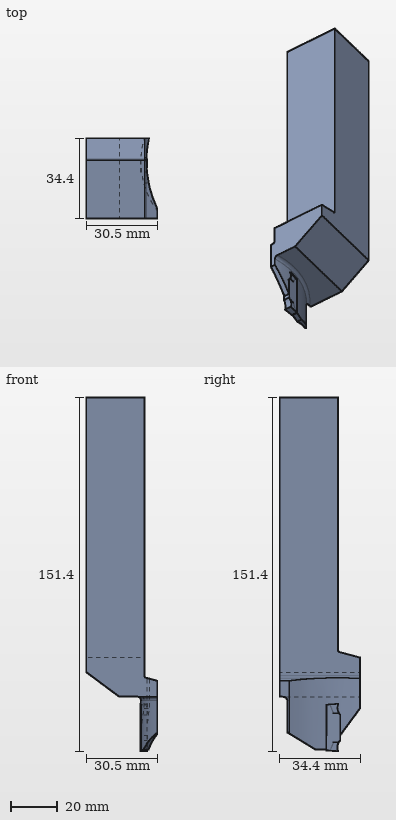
import cadquery as cq
import math


TOTAL_HEIGHT = 151.35
SHANK_WIDTH = 25.0
HEAD_WIDTH = 30.49
HEAD_DEPTH = 34.4
HEAD_BOTTOM_Z = 23.4
BEVEL_RUN = 14.1
BEVEL_RISE = 10.5
SIDE_FLANGE_TOP_Z = 31.7
REAR_FLANGE_TOP_Z = 42.7
FLANGE_SLOPE = math.tan(math.radians(15))
FLANGE_FILLET = 0.8

APEX_Y = 24.5
OUTER_APEX_X = 23.3
INNER_APEX_X = 25.8
OUTER_START_Y = 3.2
INNER_START_Y = 4.2
BLADE_ROOT_FILLET = 1.4
FRONT_CORNER_Z = 8.2
TOE_START_Y = 15.3
TOE_Z = 0.8
REAR_CORNER_Z = 18.4
CLAMP_END_Z = 7.0

INSERT_BACK_Y = 20.0
INSERT_TOP_Y = 26.0
INSERT_LENGTH = 20.4
INSERT_MID_Z = INSERT_LENGTH / 2
INSERT_SIDE_X = 23.2
INSERT_THICKNESS = 2.8
CUTTING_EDGE_Y = 25.1
END_CLEARANCE = 0.4
RAKE_HOLLOW_Y = 24.75
RAKE_HOLLOW_Z = 1.8
RAKE_END_Z = 4.8
FLANK_TOP_Z = 4.0
FLANK_TOP_Y = 23.0
FLANK_BOTTOM_Y = 21.3
FLANK_BULGE = 0.15


def head_arc_radius(apex_x, start_y):
    """Radius of the arc with its -X extreme at the apex that meets the head's +X side at start_y."""
    depth = HEAD_WIDTH - apex_x
    half_chord = APEX_Y - start_y
    return (half_chord**2 + depth**2) / (2 * depth)


def cylinder_through_head(apex_x, start_y):
    """Vertical cylinder with its -X extreme at the apex, crossing the head's +X side at start_y."""
    radius = head_arc_radius(apex_x, start_y)
    return cq.Workplane("XY").center(apex_x + radius, APEX_Y).circle(radius).extrude(TOTAL_HEIGHT)


def extrude_yz(outline):
    """Extrude a closed (Y, Z) outline across the whole head width."""
    return cq.Workplane("YZ").polyline(outline).close().extrude(HEAD_WIDTH)


def make_shank_and_head():
    front_outline = [
        (0, TOTAL_HEIGHT),
        (0, HEAD_BOTTOM_Z + BEVEL_RISE),
        (BEVEL_RUN, HEAD_BOTTOM_Z),
        (HEAD_WIDTH, HEAD_BOTTOM_Z),
        (HEAD_WIDTH, SIDE_FLANGE_TOP_Z - (HEAD_WIDTH - SHANK_WIDTH) * FLANGE_SLOPE),
        (SHANK_WIDTH, SIDE_FLANGE_TOP_Z),
        (SHANK_WIDTH, TOTAL_HEIGHT),
    ]
    side_outline = [
        (0, TOTAL_HEIGHT),
        (0, HEAD_BOTTOM_Z),
        (HEAD_DEPTH, HEAD_BOTTOM_Z),
        (HEAD_DEPTH, REAR_FLANGE_TOP_Z - (HEAD_DEPTH - SHANK_WIDTH) * FLANGE_SLOPE),
        (SHANK_WIDTH, REAR_FLANGE_TOP_Z),
        (SHANK_WIDTH, TOTAL_HEIGHT),
    ]
    front = cq.Workplane("XZ").polyline(front_outline).close().extrude(-HEAD_DEPTH)
    front_corner = cq.selectors.NearestToPointSelector((SHANK_WIDTH, HEAD_DEPTH / 2, SIDE_FLANGE_TOP_Z))
    front = front.edges(front_corner).fillet(FLANGE_FILLET)
    side = extrude_yz(side_outline)
    side_corner = cq.selectors.NearestToPointSelector((HEAD_WIDTH / 2, SHANK_WIDTH, REAR_FLANGE_TOP_Z))
    side = side.edges(side_corner).fillet(FLANGE_FILLET)
    return front.intersect(side)


def make_blade():
    """Curved plate below the head, still without its concave face."""
    outline = [
        (OUTER_START_Y, HEAD_BOTTOM_Z),
        (OUTER_START_Y, FRONT_CORNER_Z),
        (TOE_START_Y, TOE_Z),
        (INSERT_BACK_Y, TOE_Z),
        (INSERT_BACK_Y, CLAMP_END_Z),
        (INSERT_TOP_Y, CLAMP_END_Z),
        (HEAD_DEPTH, REAR_CORNER_Z),
        (HEAD_DEPTH, HEAD_BOTTOM_Z),
    ]
    return extrude_yz(outline).intersect(cylinder_through_head(OUTER_APEX_X, OUTER_START_Y))


def make_blade_root():
    """Concave fillet between the head's underside and the blade's convex face."""
    outer_radius = head_arc_radius(OUTER_APEX_X, OUTER_START_Y)
    center_x = OUTER_APEX_X + outer_radius
    ring = (
        cq.Workplane("XZ", origin=(center_x, APEX_Y, HEAD_BOTTOM_Z))
        .moveTo(-outer_radius + BLADE_ROOT_FILLET, 0)
        .lineTo(-outer_radius - BLADE_ROOT_FILLET, 0)
        .radiusArc((-outer_radius, -BLADE_ROOT_FILLET), BLADE_ROOT_FILLET)
        .lineTo(-outer_radius + BLADE_ROOT_FILLET, -BLADE_ROOT_FILLET)
        .close()
        .revolve(360, (0, 0, 0), (0, 1, 0))
    )
    head_space = cq.Workplane("XY").box(HEAD_WIDTH, HEAD_DEPTH, TOTAL_HEIGHT, centered=False)
    return ring.intersect(head_space)


def make_insert_flank(side_x, direction):
    """Tapered widening of the lower cutting head on one side of the insert."""
    tip_x = side_x + direction * FLANK_BULGE
    top = [(side_x, FLANK_TOP_Y), (tip_x, INSERT_TOP_Y), (side_x, INSERT_TOP_Y)]
    bottom = [(side_x, FLANK_BOTTOM_Y), (tip_x, INSERT_TOP_Y), (side_x, INSERT_TOP_Y)]
    return (
        cq.Workplane("XY").polyline(bottom).close()
        .workplane(offset=FLANK_TOP_Z).polyline(top).close()
        .loft(ruled=True)
    )


def make_insert():
    """Lower half of the insert with its cutting head, mirrored to make both ends."""
    def half_profile(x_start, thickness):
        return (
            cq.Workplane("YZ", origin=(x_start, 0, 0))
            .moveTo(INSERT_BACK_Y, INSERT_MID_Z)
            .lineTo(INSERT_BACK_Y, END_CLEARANCE)
            .lineTo(CUTTING_EDGE_Y, 0)
            .threePointArc((RAKE_HOLLOW_Y, RAKE_HOLLOW_Z), (INSERT_TOP_Y, RAKE_END_Z))
            .lineTo(INSERT_TOP_Y, INSERT_MID_Z)
            .close()
            .extrude(thickness)
        )

    far_side_x = INSERT_SIDE_X + INSERT_THICKNESS
    half = half_profile(INSERT_SIDE_X, INSERT_THICKNESS)
    wide_half = half_profile(INSERT_SIDE_X - FLANK_BULGE, INSERT_THICKNESS + 2 * FLANK_BULGE)
    for side_x, direction in ((INSERT_SIDE_X, -1), (far_side_x, 1)):
        half = half.union(make_insert_flank(side_x, direction).intersect(wide_half))
    other_half = half.mirror("XY", (0, 0, INSERT_MID_Z))
    return half.union(other_half).clean()


insert = make_insert()
holder = (
    make_shank_and_head()
    .union(make_blade())
    .union(make_blade_root())
    .cut(cylinder_through_head(INNER_APEX_X, INNER_START_Y))
    .cut(insert)
)

result = cq.Compound.makeCompound([*holder.solids().vals(), *insert.solids().vals()])